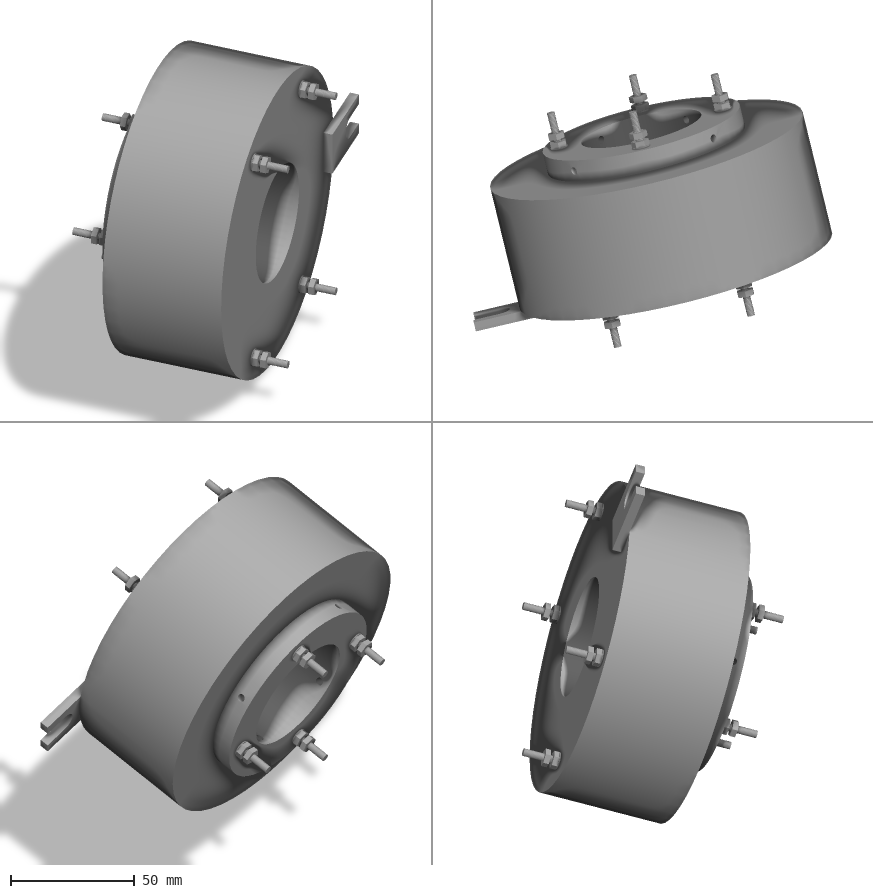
import cadquery as cq
import math

drum_diameter = 130.0
drum_length = 51.2
flange_diameter = 82.0
flange_length = 9.0
bore_diameter = 50.0

stud_length = 15.0
thread_diameter = 3.2
thread_root_diameter = 3.0
thread_pitch = 0.5
washer_diameter = 7.3
washer_thickness = 0.5
nut_across_flats = 6.4
nut_thickness = 2.3
nut_gap = 1.3
flange_stud_radius = 34.0
flange_stud_angles = (0, 90, 180, 270)
drum_stud_radius = 55.4
drum_stud_angles = (60, 120, 240, 300)

set_screw_diameter = 3.2
set_screw_angles = (45, 135, 225, 315)

tab_tip_y = 84.0
tab_length = 30.5
tab_width = 19.2
tab_thickness = 3.8
slot_width = 9.5
slot_depth = 15.0


def x_cylinder(diameter, start, length):
    """Cylinder on the X axis running from start in +X."""
    return cq.Workplane("YZ").workplane(offset=start).circle(diameter / 2).extrude(length)


def hub():
    drum = x_cylinder(drum_diameter, 0, drum_length)
    flange = x_cylinder(flange_diameter, -flange_length, flange_length)
    bore = x_cylinder(bore_diameter, -flange_length, flange_length + drum_length)
    return drum.union(flange).cut(bore)


def set_screw_hole(angle):
    """Hole from the bore outwards, at an angle from +Y about X."""
    hole = cq.Workplane("XY", origin=(-flange_length / 2, 0, 0)).circle(set_screw_diameter / 2)
    return hole.extrude(flange_diameter / 2).rotate((0, 0, 0), (1, 0, 0), angle - 90)


def threaded_rod():
    """Rod along +X from the origin with ring grooves standing in for its thread."""
    crest = thread_diameter / 2
    root = thread_root_diameter / 2
    profile = cq.Workplane("XY").lineTo(0, crest)
    for turn in range(round(stud_length / thread_pitch)):
        start = turn * thread_pitch
        profile = profile.lineTo(start + thread_pitch / 2, root).lineTo(start + thread_pitch, crest)
    return profile.lineTo(stud_length, 0).close().revolve(360, (0, 0, 0), (1, 0, 0))


def hex_nut(start):
    """Nut on the X axis with two of its flats facing +Y and -Y."""
    corner_diameter = nut_across_flats / math.cos(math.pi / 6)
    nut = cq.Workplane("YZ").workplane(offset=start).polygon(6, corner_diameter).extrude(nut_thickness)
    return nut.rotate((0, 0, 0), (1, 0, 0), 30)


def stud_assembly():
    """Stud with washer and nuts, seated at X = 0 and pointing to +X."""
    outer_nut_start = washer_thickness + nut_thickness + nut_gap
    washer = x_cylinder(washer_diameter, 0, washer_thickness)
    nuts = hex_nut(washer_thickness).union(hex_nut(outer_nut_start))
    return threaded_rod().union(washer).union(nuts)


def stud_circle(stud, face_x, radius, angles):
    """Copies of the stud seated on the plane X = face_x, spaced round the X axis."""
    seated = stud.translate((face_x, radius, 0))
    return [seated.rotate((0, 0, 0), (1, 0, 0), angle) for angle in angles]


def tab():
    plate_center_y = tab_tip_y - tab_length / 2
    plane = cq.Workplane("YZ").workplane(offset=drum_length)
    plate = plane.center(plate_center_y, 0).rect(tab_length, tab_width).extrude(tab_thickness)
    slot = plane.center(tab_tip_y, 0).slot2D(2 * slot_depth, slot_width).extrude(tab_thickness)
    return plate.cut(slot)


result = hub().union(tab())
for screw_angle in set_screw_angles:
    result = result.cut(set_screw_hole(screw_angle))

drum_stud = stud_assembly()
flange_stud = drum_stud.mirror("YZ")
studs = stud_circle(flange_stud, -flange_length, flange_stud_radius, flange_stud_angles)
studs += stud_circle(drum_stud, drum_length, drum_stud_radius, drum_stud_angles)
for stud in studs:
    result = result.union(stud)